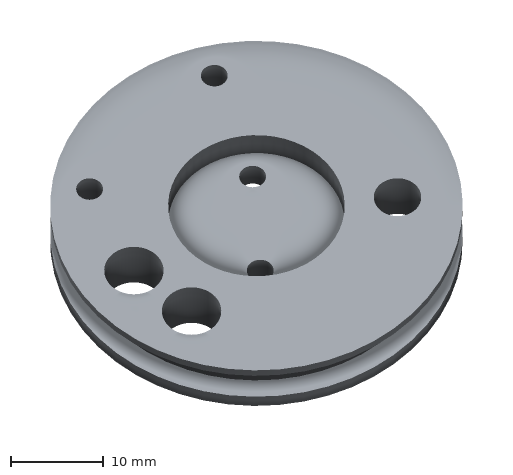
import cadquery as cq

disc_diameter = 44.45
disc_height = 6.35
groove_diameter = 40.05
lower_flange_thickness = 1.65
upper_flange_thickness = 0.98
groove_width = disc_height - lower_flange_thickness - upper_flange_thickness

pocket_diameter = 19.0
pocket_depth = 3.2

small_hole_diameter = 2.9
side_hole_x = -14.98
side_hole_y = 10.18
pocket_hole_offset = 4.5
medium_hole_diameter = 5.1
medium_hole_center = (10.65, 10.9)
large_hole_diameter = 6.4
large_hole_x = 4.15
large_hole_y = -15.3

small_hole_centers = [
    (side_hole_x, side_hole_y),
    (side_hole_x, -side_hole_y),
    (-pocket_hole_offset, pocket_hole_offset),
    (pocket_hole_offset, -pocket_hole_offset),
]
large_hole_centers = [(-large_hole_x, large_hole_y), (large_hole_x, large_hole_y)]


def grooved_disc():
    """Two flanges joined by a narrower core."""
    return (
        cq.Workplane("XY")
        .circle(disc_diameter / 2)
        .extrude(lower_flange_thickness)
        .faces(">Z")
        .workplane()
        .circle(groove_diameter / 2)
        .extrude(groove_width)
        .faces(">Z")
        .workplane()
        .circle(disc_diameter / 2)
        .extrude(upper_flange_thickness)
    )


def pocket():
    """Cutter for the blind central pocket."""
    floor_height = disc_height - pocket_depth
    floor_plane = cq.Workplane("XY").workplane(offset=floor_height)
    return floor_plane.circle(pocket_diameter / 2).extrude(pocket_depth)


def through_holes(centers, diameter):
    """Cutter for equal holes through the full height."""
    return cq.Workplane("XY").pushPoints(centers).circle(diameter / 2).extrude(disc_height)


result = (
    grooved_disc()
    .cut(pocket())
    .cut(through_holes(small_hole_centers, small_hole_diameter))
    .cut(through_holes([medium_hole_center], medium_hole_diameter))
    .cut(through_holes(large_hole_centers, large_hole_diameter))
)